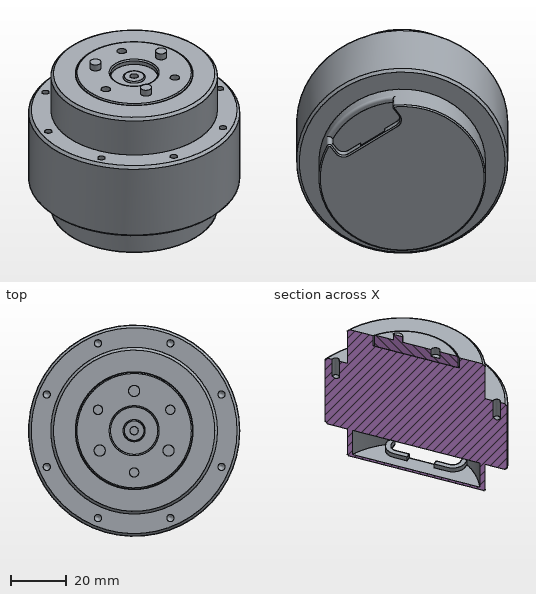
import cadquery as cq
import math

RING_DIAMETER = 76.0
DRUM_DIAMETER = 60.0
LOWER_DRUM_HEIGHT = 12.0
RING_HEIGHT = 30.0
UPPER_DRUM_HEIGHT = 15.5
HOUSING_CHAMFER = 1.0
BASE_CHAMFER = 0.5

RING_TOP = LOWER_DRUM_HEIGHT + RING_HEIGHT
HOUSING_TOP = RING_TOP + UPPER_DRUM_HEIGHT

RING_HOLE_COUNT = 8
RING_HOLE_DIAMETER = 2.6
RING_HOLE_DEPTH = 7.6
RING_HOLE_CIRCLE = 68.0
DRILL_POINT_ANGLE = 118.0

SHELL_THICKNESS = 2.0
FLOOR_THICKNESS = 1.3
CAVITY_DIAMETER = DRUM_DIAMETER - 2 * SHELL_THICKNESS
WINDOW_WIDTH = 26.9
WINDOW_TOP = 6.3
WINDOW_FILLET = 1.0

SILL_HEIGHT = 3.05
SILL_FACE_X = -19.0
SILL_THICKNESS = 2.0
SILL_CORNER_RADIUS = 3.0
SILL_NOTCH_WIDTH = 10.5

FLANGE_DIAMETER = 42.0
FLANGE_THICKNESS = 5.0
FLANGE_PROTRUSION = 0.45
FLANGE_CHAMFER = FLANGE_PROTRUSION
FLANGE_GAP = 0.19
FLANGE_TOP = HOUSING_TOP + FLANGE_PROTRUSION
FLANGE_BOTTOM = FLANGE_TOP - FLANGE_THICKNESS

PIN_COUNT = 3
FLANGE_HOLE_COUNT = PIN_COUNT
PIN_DIAMETER = 4.0
PIN_HEIGHT = 2.5
PIN_CIRCLE = 28.6
FIRST_PIN_ANGLE = 90.0
FLANGE_HOLE_DIAMETER = 3.35
FLANGE_HOLE_DEPTH = 3.05
FLANGE_HOLE_CIRCLE = 30.0
FIRST_HOLE_ANGLE = FIRST_PIN_ANGLE + 180 / PIN_COUNT

RECESS_DIAMETER = 18.0
RECESS_DEPTH = 2.0
RECESS_CHAMFER = 0.5
RECESS_FLOOR = FLANGE_TOP - RECESS_DEPTH
HUB_DIAMETER = 8.0
HUB_HEIGHT = 0.5
HUB_CHAMFER = 0.45
HUB_HOLE_DIAMETER = 3.0
HUB_HOLE_DEPTH = 2.3


def disc(diameter, bottom, height):
    return cq.Workplane("XY").workplane(offset=bottom).circle(diameter / 2).extrude(height)


def spaced_points(count, circle_diameter, first_angle):
    """Points spaced evenly on a circle around the Z axis."""
    radius = circle_diameter / 2
    angles = [math.radians(first_angle + i * 360 / count) for i in range(count)]
    return [(radius * math.cos(angle), radius * math.sin(angle)) for angle in angles]


def block_toward_window(inner_x, width, bottom, top):
    """Block centred on the X axis, reaching from inner_x to the -X side of the drum."""
    outer_x = -DRUM_DIAMETER / 2
    return (
        cq.Workplane("XY")
        .workplane(offset=bottom)
        .center((inner_x + outer_x) / 2, 0)
        .rect(inner_x - outer_x, width)
        .extrude(top - bottom)
    )


def rounded_block(inner_x, width, corner_radius, bottom, top):
    block = block_toward_window(inner_x, width, bottom, top)
    return block.edges("|Z and >X").fillet(corner_radius)


def is_window_rim(edge):
    """True for an edge of the +Y half where the window breaks through the round side of the drum."""
    rim_end_x = -math.sqrt((DRUM_DIAMETER / 2) ** 2 - (WINDOW_WIDTH / 2) ** 2)
    centre = edge.Center()
    at_round_side = centre.x < rim_end_x + WINDOW_FILLET / 2
    at_window_height = 0 < centre.z < WINDOW_TOP + WINDOW_FILLET
    return at_round_side and at_window_height and centre.y > 0


def make_sill():
    inner_block = rounded_block(SILL_FACE_X, WINDOW_WIDTH, SILL_CORNER_RADIUS, 0, SILL_HEIGHT)
    outer_block = rounded_block(
        SILL_FACE_X + SILL_THICKNESS,
        WINDOW_WIDTH + 2 * SILL_THICKNESS,
        SILL_CORNER_RADIUS + SILL_THICKNESS,
        0,
        SILL_HEIGHT,
    )
    notch = block_toward_window(
        SILL_FACE_X + SILL_THICKNESS, SILL_NOTCH_WIDTH, FLOOR_THICKNESS, SILL_HEIGHT
    )
    inside_of_shell = disc(CAVITY_DIAMETER, 0, SILL_HEIGHT)
    return outer_block.intersect(inside_of_shell).cut(inner_block).cut(notch)


def make_drum_with_window():
    """Solid lower drum with the round-edged window, made as its +Y half and mirrored."""
    window = block_toward_window(SILL_FACE_X, WINDOW_WIDTH, 0, WINDOW_TOP)
    plus_y_side = (
        cq.Workplane("XY")
        .center(0, DRUM_DIAMETER / 2)
        .rect(2 * DRUM_DIAMETER, DRUM_DIAMETER)
        .extrude(LOWER_DRUM_HEIGHT)
    )
    half = disc(DRUM_DIAMETER, 0, LOWER_DRUM_HEIGHT).intersect(plus_y_side).cut(window).val()
    rim_edges = [edge for edge in half.Edges() if is_window_rim(edge)]
    half = cq.Workplane(half.fillet(WINDOW_FILLET, rim_edges))
    return half.union(half.mirror("XZ")).clean()


def make_lower_drum():
    cavity = disc(CAVITY_DIAMETER, FLOOR_THICKNESS, LOWER_DRUM_HEIGHT - FLOOR_THICKNESS)
    drum = make_drum_with_window().cut(cavity).union(make_sill())
    return drum.faces("<Z").edges().chamfer(BASE_CHAMFER)


def make_ring():
    ring = disc(RING_DIAMETER, LOWER_DRUM_HEIGHT, RING_HEIGHT)
    return ring.faces("<Z or >Z").chamfer(HOUSING_CHAMFER)


def drill_ring_holes(housing):
    """Cut the ring holes, each ending in a drill point."""
    radius = RING_HOLE_DIAMETER / 2
    point_depth = radius / math.tan(math.radians(DRILL_POINT_ANGLE / 2))
    drill = (
        cq.Workplane("XZ")
        .moveTo(0, RING_TOP)
        .lineTo(radius, RING_TOP)
        .lineTo(radius, RING_TOP - RING_HOLE_DEPTH)
        .lineTo(0, RING_TOP - RING_HOLE_DEPTH - point_depth)
        .close()
        .revolve(360, (0, 0, 0), (0, 1, 0))
    )
    half_pitch = 180 / RING_HOLE_COUNT
    for x, y in spaced_points(RING_HOLE_COUNT, RING_HOLE_CIRCLE, half_pitch):
        housing = housing.cut(drill.translate((x, y, 0)))
    return housing


def make_housing():
    upper_drum = disc(DRUM_DIAMETER, RING_TOP, UPPER_DRUM_HEIGHT).faces(">Z").chamfer(HOUSING_CHAMFER)
    flange_seat = disc(FLANGE_DIAMETER + 2 * FLANGE_GAP, FLANGE_BOTTOM, FLANGE_THICKNESS)
    housing = make_lower_drum().union(make_ring()).union(upper_drum).cut(flange_seat)
    return drill_ring_holes(housing)


def cut_central_recess(flange):
    recess = (
        cq.Workplane("XZ")
        .moveTo(0, FLANGE_TOP)
        .lineTo(RECESS_DIAMETER / 2, FLANGE_TOP)
        .lineTo(RECESS_DIAMETER / 2 - RECESS_CHAMFER, FLANGE_TOP - RECESS_CHAMFER)
        .lineTo(RECESS_DIAMETER / 2 - RECESS_CHAMFER, RECESS_FLOOR)
        .lineTo(0, RECESS_FLOOR)
        .close()
        .revolve(360, (0, 0, 0), (0, 1, 0))
    )
    hub = disc(HUB_DIAMETER, RECESS_FLOOR, HUB_HEIGHT).faces(">Z").chamfer(HUB_CHAMFER)
    hub_top = RECESS_FLOOR + HUB_HEIGHT
    hub_hole = disc(HUB_HOLE_DIAMETER, hub_top - HUB_HOLE_DEPTH, HUB_HOLE_DEPTH)
    return flange.cut(recess).union(hub).cut(hub_hole)


def make_flange():
    flange = disc(FLANGE_DIAMETER, FLANGE_BOTTOM, FLANGE_THICKNESS).faces(">Z").chamfer(FLANGE_CHAMFER)
    flange = cut_central_recess(flange)
    pins = (
        cq.Workplane("XY")
        .workplane(offset=FLANGE_TOP)
        .pushPoints(spaced_points(PIN_COUNT, PIN_CIRCLE, FIRST_PIN_ANGLE))
        .circle(PIN_DIAMETER / 2)
        .extrude(PIN_HEIGHT)
    )
    holes = (
        cq.Workplane("XY")
        .workplane(offset=FLANGE_TOP)
        .pushPoints(spaced_points(FLANGE_HOLE_COUNT, FLANGE_HOLE_CIRCLE, FIRST_HOLE_ANGLE))
        .circle(FLANGE_HOLE_DIAMETER / 2)
        .extrude(-FLANGE_HOLE_DEPTH)
    )
    return flange.union(pins).cut(holes)


housing = make_housing()
flange = make_flange()
result = cq.Compound.makeCompound([housing.val(), flange.val()])